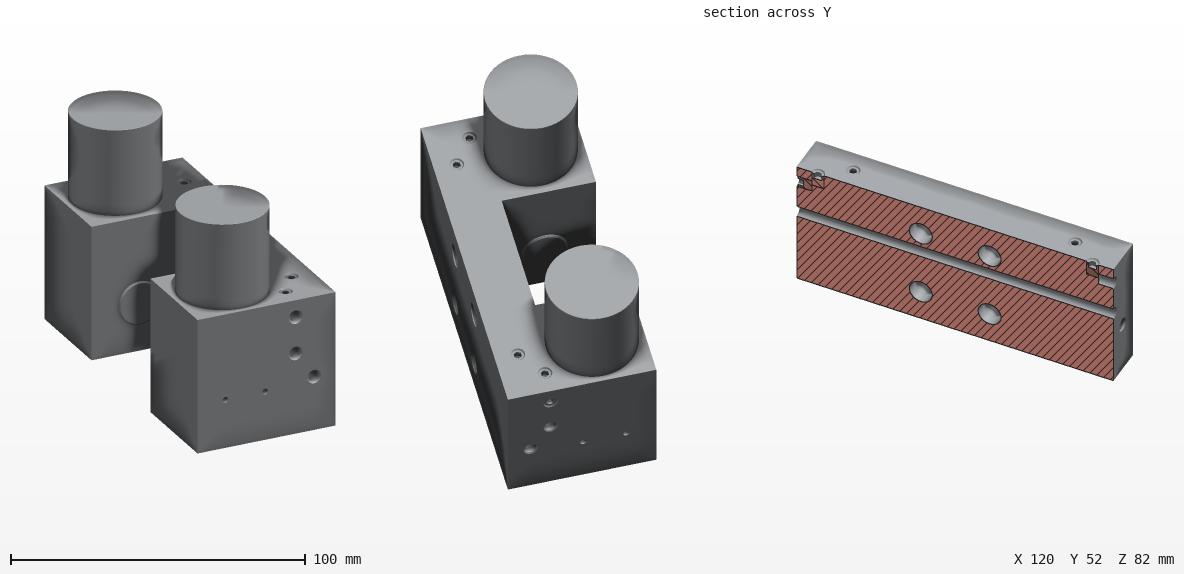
import cadquery as cq
import math

LENGTH = 120.0
DEPTH = 52.0
HEIGHT = 49.9
LEG_WIDTH = 37.0
WEB_THICKNESS = 19.0
FRONT_Y = -DEPTH / 2
BACK_Y = DEPTH / 2
SIDE_X = LENGTH / 2
INNER_X = SIDE_X - LEG_WIDTH

MOUNT_DIAMETER = 8.5
MOUNT_SPACING = 26.0

TOTAL_HEIGHT = 82.0
TOWER_DIAMETER = 32.0
TOWER_CHAMFER = 0.1
TOWER_INSET = 18.0
TOWER_X = SIDE_X - TOWER_INSET
TOWER_Y = FRONT_Y + TOWER_INSET

PORT_DIAMETER = 4.2
PORT_CHAMFER = 0.42
PORT_DEPTH = 5.8
NEAR_BACK_Y = BACK_Y - 8.0
FAR_BACK_Y = BACK_Y - 15.0
OUTER_PORT_X = SIDE_X - 8.0
SIDE_PORT_Z = HEIGHT - 6.4
UPPER_CROSS_Z = HEIGHT - 19.9
LOWER_CROSS_Z = HEIGHT - 30.0

SCREW_RECESS = PORT_CHAMFER
SOCKET_FLATS = 2.5
SOCKET_DEPTH = 2.0

CLAMP_Z = HEIGHT - 31.9
PAD_DIAMETER = 16.0
PAD_REACH = 0.8
PAD_CHAMFER = 0.5
COVER_DIAMETER = 21.5
COVER_THICKNESS = 5.0
PIN_HOLE_DIAMETER = 2.2
PIN_HOLE_SPACING = 15.0
PIN_HOLE_DEPTH = 2.4

UP = (0, 0, 1)
DOWN = (0, 0, -1)
ALONG_X = (1, 0, 0)
ALONG_Y = (0, 1, 0)
LEFT_AND_RIGHT = (-1, 1)


def inward(side):
    """Direction from an outer side face towards the middle."""
    return (-side, 0, 0)


def rod(start, direction, diameter, length):
    """Cylinder that starts at a point and runs along a direction."""
    return cq.Workplane(
        cq.Solid.makeCylinder(diameter / 2, length, cq.Vector(*start), cq.Vector(*direction))
    )


def port_mouth(start, direction):
    """Conical chamfer at the mouth of a port."""
    bore_radius = PORT_DIAMETER / 2
    return cq.Workplane(
        cq.Solid.makeCone(
            bore_radius + PORT_CHAMFER,
            bore_radius,
            PORT_CHAMFER,
            cq.Vector(*start),
            cq.Vector(*direction),
        )
    )


top_ports = []
for side in LEFT_AND_RIGHT:
    top_ports.append(((side * OUTER_PORT_X, FAR_BACK_Y, HEIGHT), DOWN, ALONG_X))
    top_ports.append(((side * TOWER_X, NEAR_BACK_Y, HEIGHT), DOWN, ALONG_X))
left_port, right_port = [
    ((side * SIDE_X, FAR_BACK_Y, SIDE_PORT_Z), inward(side), ALONG_Y) for side in LEFT_AND_RIGHT
]

plugged_ports = [*top_ports, left_port]
blind_ports = [*plugged_ports, right_port]


def make_block():
    """Web with a leg at each end."""
    block = cq.Workplane("XY").box(LENGTH, DEPTH, HEIGHT, centered=(True, True, False))
    gap = cq.Workplane("XY").box(
        2 * INNER_X, DEPTH - WEB_THICKNESS, HEIGHT, centered=(True, False, False)
    )
    return block.cut(gap.translate((0, FRONT_Y, 0)))


def add_towers(body):
    for side in LEFT_AND_RIGHT:
        tower = rod((side * TOWER_X, TOWER_Y, HEIGHT), UP, TOWER_DIAMETER, TOTAL_HEIGHT - HEIGHT)
        body = body.union(tower.faces(">Z").chamfer(TOWER_CHAMFER))
    return body


def add_pads(body):
    """Round pads that stand a little proud of the inner faces of the legs."""
    for side in LEFT_AND_RIGHT:
        face_center = (side * INNER_X, TOWER_Y, CLAMP_Z)
        pad = rod(face_center, inward(side), PAD_DIAMETER, PAD_REACH)
        exposed_face = "<X" if side > 0 else ">X"
        body = body.union(pad.faces(exposed_face).chamfer(PAD_CHAMFER))
    return body


def cut_mounting_holes(body):
    for x in (-MOUNT_SPACING / 2, MOUNT_SPACING / 2):
        for offset in (-MOUNT_SPACING / 2, MOUNT_SPACING / 2):
            start = (x, BACK_Y - WEB_THICKNESS, HEIGHT / 2 + offset)
            body = body.cut(rod(start, ALONG_Y, MOUNT_DIAMETER, WEB_THICKNESS))
    return body


def cut_cross_ports(body):
    for y, z in ((FAR_BACK_Y, UPPER_CROSS_Z), (NEAR_BACK_Y, LOWER_CROSS_Z)):
        body = body.cut(rod((-SIDE_X, y, z), ALONG_X, PORT_DIAMETER, LENGTH))
        for side in LEFT_AND_RIGHT:
            body = body.cut(port_mouth((side * SIDE_X, y, z), inward(side)))
    return body


def cut_blind_ports(body):
    for start, direction, _ in blind_ports:
        body = body.cut(rod(start, direction, PORT_DIAMETER, PORT_DEPTH))
        body = body.cut(port_mouth(start, direction))
    return body


def cover_blank(side):
    """Disc that fills the cover seat in the outer face of a leg."""
    return rod((side * SIDE_X, TOWER_Y, CLAMP_Z), inward(side), COVER_DIAMETER, COVER_THICKNESS)


def make_housing():
    body = add_pads(add_towers(make_block()))
    body = cut_blind_ports(cut_cross_ports(cut_mounting_holes(body)))
    for side in LEFT_AND_RIGHT:
        body = body.cut(cover_blank(side))
    return body


def make_cover(side):
    """Flush round cover with two blind holes for a pin spanner."""
    cover = cover_blank(side)
    for offset in (-PIN_HOLE_SPACING / 2, PIN_HOLE_SPACING / 2):
        start = (side * SIDE_X, TOWER_Y + offset, CLAMP_Z)
        cover = cover.cut(rod(start, inward(side), PIN_HOLE_DIAMETER, PIN_HOLE_DEPTH))
    return cover


def make_set_screw(port):
    """Screw sunk to the foot of the port chamfer, with a hexagon socket."""
    start, direction, corner_direction = port
    axis = cq.Vector(*direction)
    head = cq.Vector(*start) + axis * SCREW_RECESS
    head_plane = cq.Plane(origin=head, xDir=corner_direction, normal=axis)
    across_corners = SOCKET_FLATS / math.cos(math.pi / 6)
    socket = cq.Workplane(head_plane).polygon(6, across_corners).extrude(SOCKET_DEPTH)
    shank = rod(head.toTuple(), direction, PORT_DIAMETER, PORT_DEPTH - SCREW_RECESS)
    return shank.cut(socket)


housing = make_housing()
covers = [make_cover(side).val() for side in LEFT_AND_RIGHT]
set_screws = [make_set_screw(port).val() for port in plugged_ports]

result = cq.Compound.makeCompound([housing.val(), *covers, *set_screws])